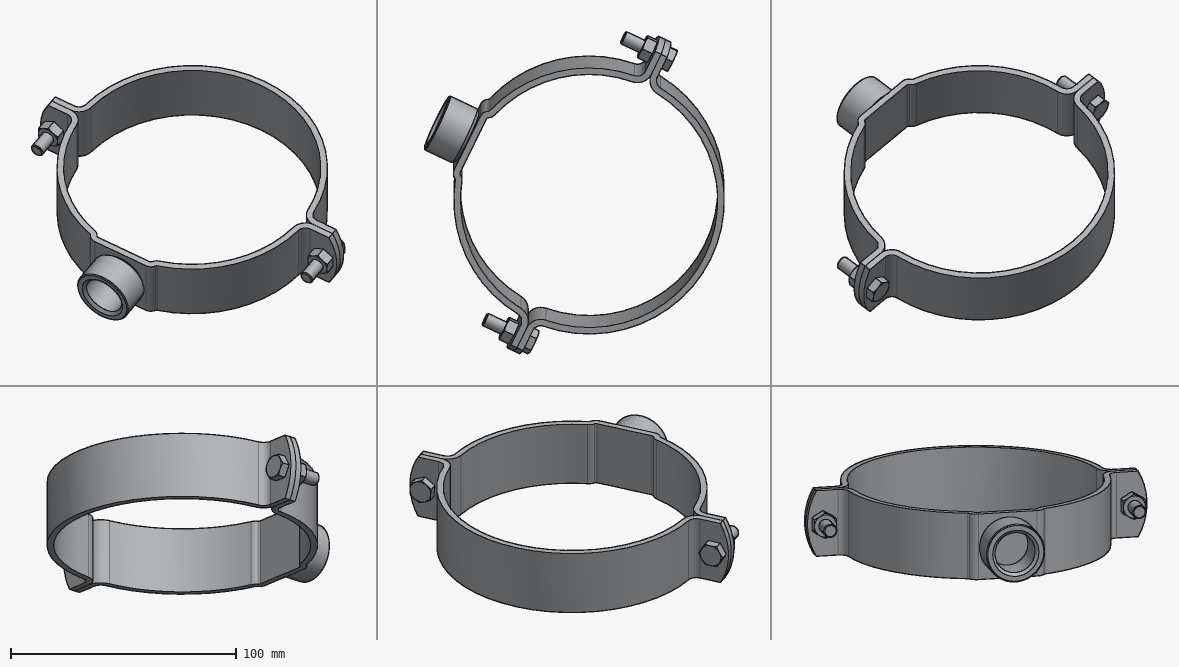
import cadquery as cq
import math


overall_length = 155.0
strap_width = 30.0
strap_thickness = 3.0
ring_radius = 60.0
ring_bore_radius = ring_radius - strap_thickness
tab_start = 63.5
tab_end_radius = strap_width
tab_tip = overall_length / 2

pad_half_length = 13.3
joggle_inner_radius = 1.2
joggle_outer_radius = joggle_inner_radius + strap_thickness

boss_diameter = 26.5
boss_length = 15.0
boss_bore_radius = 9.1
boss_mouth_chamfer = 1.4
boss_mouth_angle = 90.0
boss_weld_chamfer = 1.4
boss_rim_chamfer = 0.5

bolt_spacing = 141.0
bolt_diameter = 6.0
bolt_reach = 17.4
bolt_tip_chamfer = 0.5
head_height = 4.0
nut_height = 5.0
hex_across_flats = 10.0
hex_corner_diameter = hex_across_flats / math.cos(math.radians(30))
hex_chamfer_height = 0.39
left_head_turn = 0.0
right_head_turn = 24.0
nut_turn = 30.0


def polar(radius, angle, center=(0, 0)):
    """Point at a radius and an angle in degrees (counter-clockwise from +X) about a center."""
    turn = math.radians(angle)
    return (center[0] + radius * math.cos(turn), center[1] + radius * math.sin(turn))


bend_inner_radius = (tab_start**2 + strap_thickness**2 - ring_radius**2) / (2 * ring_bore_radius)
bend_outer_radius = bend_inner_radius + strap_thickness
bend_center = (tab_start, strap_thickness + bend_inner_radius)
bend_angle = math.degrees(math.atan2(bend_center[1], bend_center[0]))
bend_middle_angle = (180 + bend_angle + 270) / 2


def draw_tab_and_bend(outline):
    """Continue a +X, +Y outline from the ring outside, around the tab and back to the ring bore."""
    return (
        outline
        .threePointArc(polar(bend_inner_radius, bend_middle_angle, bend_center), (tab_start, strap_thickness))
        .lineTo(tab_tip, strap_thickness)
        .lineTo(tab_tip, 0)
        .lineTo(tab_start, 0)
        .threePointArc(
            polar(bend_outer_radius, bend_middle_angle, bend_center),
            polar(ring_bore_radius, bend_angle),
        )
    )


def finish_strap(half_outline):
    """Extrude one side of a strap, mirror it, then round the tab ends and drill the bolt holes."""
    side = half_outline.close().extrude(strap_width / 2, both=True)
    strap = side.union(side.mirror("YZ"))

    tip_arc_center = tab_tip - tab_end_radius
    edge_x = tip_arc_center + math.sqrt(tab_end_radius**2 - (strap_width / 2) ** 2)
    face_outline = (
        cq.Workplane("XZ")
        .moveTo(-edge_x, -strap_width / 2)
        .lineTo(edge_x, -strap_width / 2)
        .threePointArc((tab_tip, 0), (edge_x, strap_width / 2))
        .lineTo(-edge_x, strap_width / 2)
        .threePointArc((-tab_tip, 0), (-edge_x, -strap_width / 2))
        .close()
        .extrude(overall_length, both=True)
    )
    bolt_holes = (
        cq.Workplane("XZ")
        .pushPoints([(-bolt_spacing / 2, 0), (bolt_spacing / 2, 0)])
        .circle(bolt_diameter / 2)
        .extrude(bolt_reach, both=True)
    )
    return strap.intersect(face_outline).cut(bolt_holes)


def make_plain_strap():
    """Half on the +Y side: an arch with a tab at each end."""
    middle_angle = (90 + bend_angle) / 2
    outline = (
        cq.Workplane("XY")
        .moveTo(0, ring_radius)
        .threePointArc(polar(ring_radius, middle_angle), polar(ring_radius, bend_angle))
    )
    outline = draw_tab_and_bend(outline)
    outline = outline.threePointArc(polar(ring_bore_radius, middle_angle), (0, ring_bore_radius))
    return finish_strap(outline)


def make_pad_strap():
    """Half on the -Y side, drawn toward +Y and then mirrored: pad, S-bends, arch and tabs."""
    pad_bend_center = (pad_half_length, ring_bore_radius - joggle_inner_radius)
    pad_bend_distance = math.hypot(*pad_bend_center)
    ring_bend_distance = ring_radius + joggle_inner_radius
    bend_spacing = joggle_inner_radius + joggle_outer_radius
    angle_between_centers = math.acos(
        (pad_bend_distance**2 + ring_bend_distance**2 - bend_spacing**2)
        / (2 * pad_bend_distance * ring_bend_distance)
    )
    ring_start_angle = math.degrees(
        math.atan2(pad_bend_center[1], pad_bend_center[0]) - angle_between_centers
    )
    ring_bend_center = polar(ring_bend_distance, ring_start_angle)

    joint_angle = math.degrees(
        math.atan2(ring_bend_center[1] - pad_bend_center[1], ring_bend_center[0] - pad_bend_center[0])
    )
    pad_bend_middle = (90 + joint_angle) / 2
    ring_bend_middle = (ring_start_angle + joint_angle) / 2 + 180
    ring_middle = (ring_start_angle + bend_angle) / 2

    outline = (
        cq.Workplane("XY")
        .moveTo(0, ring_radius)
        .lineTo(pad_half_length, ring_radius)
        .threePointArc(
            polar(joggle_outer_radius, pad_bend_middle, pad_bend_center),
            polar(joggle_outer_radius, joint_angle, pad_bend_center),
        )
        .threePointArc(
            polar(joggle_inner_radius, ring_bend_middle, ring_bend_center),
            polar(ring_radius, ring_start_angle),
        )
        .threePointArc(polar(ring_radius, ring_middle), polar(ring_radius, bend_angle))
    )
    outline = draw_tab_and_bend(outline)
    outline = (
        outline
        .threePointArc(polar(ring_bore_radius, ring_middle), polar(ring_bore_radius, ring_start_angle))
        .threePointArc(
            polar(joggle_outer_radius, ring_bend_middle, ring_bend_center),
            polar(joggle_inner_radius, joint_angle, pad_bend_center),
        )
        .threePointArc(
            polar(joggle_inner_radius, pad_bend_middle, pad_bend_center),
            (pad_half_length, ring_bore_radius),
        )
        .lineTo(0, ring_bore_radius)
    )
    return finish_strap(outline).mirror("XZ")


def make_boss():
    """Round socket standing on the pad, bored through to the pad."""
    boss = (
        cq.Workplane("XZ", origin=(0, -ring_radius, 0))
        .circle(boss_diameter / 2)
        .extrude(boss_length)
        .faces(">Y").chamfer(boss_weld_chamfer)
        .faces("<Y").chamfer(boss_rim_chamfer)
    )
    return boss.faces("<Y").workplane().cskHole(
        2 * boss_bore_radius, 2 * (boss_bore_radius + boss_mouth_chamfer), boss_mouth_angle
    )


def make_hex(height, turn):
    """Hexagon prism from Y = 0 toward -Y with its far corners chamfered."""
    prism = (
        cq.Workplane("XZ")
        .polygon(6, hex_corner_diameter)
        .extrude(height)
        .rotate((0, 0, 0), (0, 1, 0), turn)
    )
    corner_cut = (hex_corner_diameter - hex_across_flats) / 2
    envelope = (
        cq.Workplane("XY")
        .lineTo(hex_corner_diameter / 2, 0)
        .lineTo(hex_corner_diameter / 2, hex_chamfer_height - height)
        .lineTo(hex_corner_diameter / 2 - corner_cut, -height)
        .lineTo(0, -height)
        .close()
        .revolve(360, (0, 0, 0), (0, 1, 0))
    )
    return prism.intersect(envelope)


def make_bolt(x, head_turn):
    """Hexagon bolt with its head on the +Y tab face and its shank toward -Y."""
    head = make_hex(head_height, head_turn).mirror("XZ").translate((0, strap_thickness, 0))
    shank = (
        cq.Workplane("XZ", origin=(0, strap_thickness, 0))
        .circle(bolt_diameter / 2)
        .extrude(strap_thickness + bolt_reach)
        .faces("<Y").chamfer(bolt_tip_chamfer)
    )
    return head.union(shank).translate((x, 0, 0))


def make_nut(x):
    """Hexagon nut under the -Y tab face."""
    hole = cq.Workplane("XZ").circle(bolt_diameter / 2).extrude(nut_height)
    return make_hex(nut_height, nut_turn).cut(hole).translate((x, -strap_thickness, 0))


plain_strap = make_plain_strap()
pad_strap = make_pad_strap()
boss = make_boss()

bolts = []
nuts = []
for side, head_turn in ((-1, left_head_turn), (1, right_head_turn)):
    bolt_x = side * bolt_spacing / 2
    bolts.append(make_bolt(bolt_x, head_turn).val())
    nuts.append(make_nut(bolt_x).val())

result = cq.Compound.makeCompound([plain_strap.val(), pad_strap.val(), boss.val(), *bolts, *nuts])